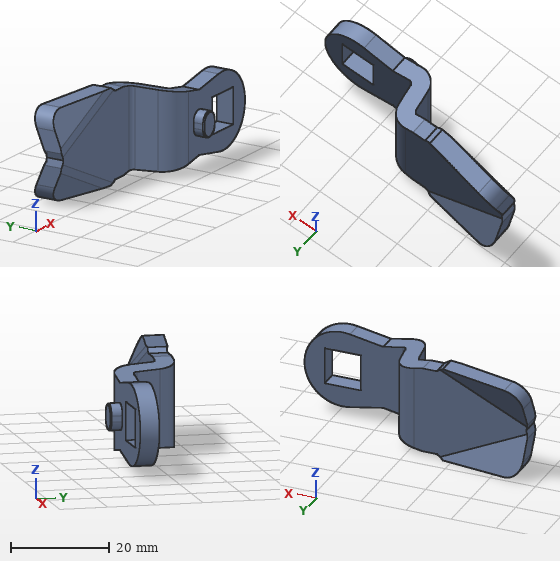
import cadquery as cq
import math


sheet = 4.0
step_height = 10.0
inner_bend_radius = 1.0
outer_bend_radius = inner_bend_radius + sheet
web_tilt = math.radians(10)
lower_bend_x = -13.3

bend_centre_drop = step_height - inner_bend_radius - outer_bend_radius
bend_radius_sum = inner_bend_radius + outer_bend_radius
web_fall = bend_centre_drop + bend_radius_sum * math.sin(web_tilt)
upper_bend_x = lower_bend_x - bend_radius_sum * math.cos(web_tilt) - web_fall * math.tan(web_tilt)

hub_radius = 8.5
neck_x = -9.0
neck_half_width = 7.0
arm_start_x = -22.0
arm_half_width = 9.5
shoulder_inner_x = -25.2
shoulder_outer_x = -26.7
wing_half_width = 10.47
wing_side_taper = math.radians(2)
tip_x = -45.44
tip_corner_radius = 4.0
tip_notch_depth = 0.43
tip_notch_half_width = 1.55

fold_direction = math.radians(25.4)
fold_angle = math.radians(25.8)
fold_tip_z = 0.72

square_side = 8.0
pin_x = neck_x
pin_width = 4.4
pin_length = 5.65
pin_height = 2.5
pin_chamfer = 0.25

reach = 100.0


def polar(center, radius, angle):
    """Point at a distance and bearing from a centre."""
    return (center[0] + radius * math.cos(angle), center[1] + radius * math.sin(angle))


def outline_prism():
    """Lever outline, seen along Y, as a prism that is deeper than the part."""
    neck_distance = math.hypot(neck_x, neck_half_width)
    neck_bearing = math.atan2(neck_half_width, neck_x)
    tangent_bearing = neck_bearing - math.acos(hub_radius / neck_distance)
    tangent_x = hub_radius * math.cos(tangent_bearing)
    tangent_z = hub_radius * math.sin(tangent_bearing)

    taper_slope = math.tan(wing_side_taper)
    edge_drop = wing_half_width - tip_notch_half_width - (shoulder_outer_x - tip_x) * taper_slope
    edge_rise = edge_drop / (1 + taper_slope**2)
    corner_x = tip_x + edge_rise * taper_slope
    corner_z = tip_notch_half_width + edge_rise

    upper_edge = [
        (neck_x, neck_half_width),
        (arm_start_x, arm_half_width),
        (shoulder_inner_x, arm_half_width),
        (shoulder_outer_x, wing_half_width),
        (corner_x, corner_z),
        (tip_x, tip_notch_half_width),
    ]
    lower_edge = [(x, -z) for x, z in reversed(upper_edge)]
    outline = cq.Workplane("XZ").moveTo(tangent_x, tangent_z)
    for point in upper_edge + [(tip_x + tip_notch_depth, 0)] + lower_edge:
        outline = outline.lineTo(*point)
    outline = outline.lineTo(tangent_x, -tangent_z)
    outline = outline.threePointArc((hub_radius, 0), (tangent_x, tangent_z)).close()
    prism = outline.extrude(reach / 2, both=True)

    for side in (1, -1):
        corner = cq.selectors.NearestToPointSelector((corner_x, 0, side * corner_z))
        prism = prism.edges("|Y").edges(corner).fillet(tip_corner_radius)
    return prism


def stepped_sheet():
    """Hub plate, web and bends, at full reach across Z."""
    upper = (upper_bend_x, step_height - inner_bend_radius)
    lower = (lower_bend_x, outer_bend_radius)
    bend_middle = (web_tilt + math.pi / 2) / 2
    profile = (
        cq.Workplane("XY")
        .moveTo(upper_bend_x, step_height)
        .threePointArc(
            polar(upper, inner_bend_radius, bend_middle),
            polar(upper, inner_bend_radius, web_tilt),
        )
        .lineTo(*polar(lower, outer_bend_radius, math.pi + web_tilt))
        .threePointArc(polar(lower, outer_bend_radius, math.pi + bend_middle), (lower_bend_x, 0))
        .lineTo(reach, 0)
        .lineTo(reach, sheet)
        .lineTo(lower_bend_x, sheet)
        .threePointArc(
            polar(lower, inner_bend_radius, math.pi + bend_middle),
            polar(lower, inner_bend_radius, math.pi + web_tilt),
        )
        .lineTo(*polar(upper, outer_bend_radius, web_tilt))
        .threePointArc(
            polar(upper, outer_bend_radius, bend_middle),
            (upper_bend_x, step_height + sheet),
        )
        .close()
    )
    return profile.extrude(reach / 2, both=True)


def folded_half():
    """Upper plate on the +Z side with its wing folded up toward +Y."""
    crease = (0, step_height + sheet)
    inner_end = polar(crease, reach, fold_angle)
    outer_end = polar(inner_end, sheet, fold_angle - math.pi / 2)
    section_plane = cq.Plane(
        origin=(tip_x, 0, fold_tip_z),
        xDir=(-math.sin(fold_direction), 0, math.cos(fold_direction)),
        normal=(-math.cos(fold_direction), 0, -math.sin(fold_direction)),
    )
    sheet_half = (
        cq.Workplane(section_plane)
        .moveTo(-reach, step_height)
        .lineTo(0, step_height)
        .lineTo(*polar(crease, sheet, fold_angle - math.pi / 2))
        .lineTo(*outer_end)
        .lineTo(*inner_end)
        .lineTo(*crease)
        .lineTo(-reach, crease[1])
        .close()
        .extrude(reach, both=True)
    )
    keep = cq.Workplane("XY").box(reach, reach, reach, centered=(False, True, False))
    return sheet_half.intersect(keep.translate((upper_bend_x - reach, 0, 0)))


def stop_pin():
    """Flat-sided stop pin standing out of the hub's outer face."""
    pin = cq.Workplane("XZ").center(pin_x, 0).slot2D(pin_length, pin_width, angle=90).extrude(pin_height)
    return pin.faces("<Y").chamfer(pin_chamfer)


half = folded_half()
blank = stepped_sheet().union(half).union(half.mirror("XY"))
lever = blank.intersect(outline_prism())
square_hole = cq.Workplane("XZ").rect(square_side, square_side).extrude(-sheet)
result = lever.cut(square_hole).union(stop_pin())